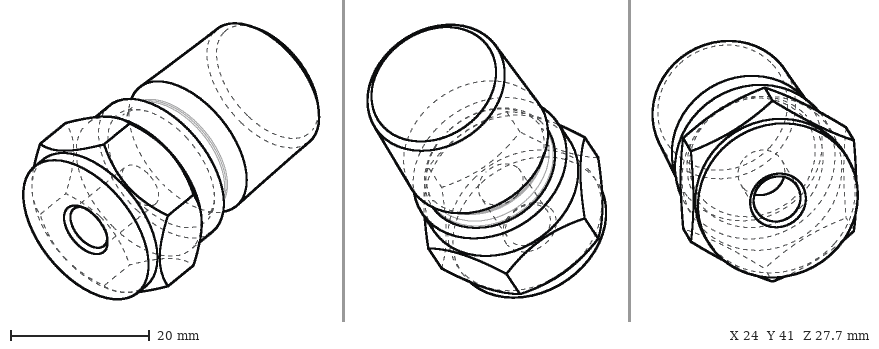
import cadquery as cq
import math

length = 41.0
hex_start = 2.0
hex_end = 11.97
shoulder_y = 17.0
nose_cone_start = 20.2
cone_end = 23.0
tip_chamfer_start = 40.0

collar_radius = 11.75
neck_radius = 9.47
taper_large_radius = 11.05
taper_small_radius = 10.55
tip_radius = 9.55

neck_arc_radius = 1.15
shoulder_flare_angle = 45.0
shoulder_cone_run = 0.2
nose_flare_angle = 15.0
nose_cone_run = 0.25

across_flats = 24.0
across_corners = across_flats / math.cos(math.pi / 6)
corner_rise = across_corners / 2 - collar_radius

hole_radius = 3.45
hole_mouth_radius = 4.1
hole_mouth_depth = 0.65
hole_depth = 12.3
drill_point_angle = 118.0
drill_point_depth = hole_radius / math.tan(math.radians(drill_point_angle / 2))


def revolve_y(points):
    """Turn a closed (radius, y) outline about the Y axis."""
    return cq.Workplane("XY").polyline(points).close().revolve(360, (0, 0, 0), (0, 1, 0))


def neck_flare(radius, angle):
    """Radial and axial size of an arc that leaves the neck and turns by an angle in degrees."""
    turn = math.radians(angle)
    return radius * (1 - math.cos(turn)), radius * math.sin(turn)


def make_body():
    """Collar, relieved neck and tapered nose; arcs and short cones flare both neck ends."""
    shoulder_rise, shoulder_run = neck_flare(neck_arc_radius, shoulder_flare_angle)
    shoulder_arc_radius = neck_radius + shoulder_rise
    shoulder_arc_y = shoulder_y + shoulder_cone_run
    shoulder_cone_rise = shoulder_cone_run * math.tan(math.radians(shoulder_flare_angle))
    shoulder_mid_rise, shoulder_mid_run = neck_flare(neck_arc_radius, shoulder_flare_angle / 2)
    neck_start = shoulder_arc_y + shoulder_run

    nose_rise, nose_run = neck_flare(neck_arc_radius, nose_flare_angle)
    nose_mid_rise, nose_mid_run = neck_flare(neck_arc_radius, nose_flare_angle / 2)
    neck_end = nose_cone_start - nose_run
    nose_cone_rise = nose_cone_run * math.tan(math.radians(nose_flare_angle))

    return (
        cq.Workplane("XY")
        .lineTo(collar_radius, 0)
        .lineTo(collar_radius, shoulder_y)
        .lineTo(shoulder_arc_radius + shoulder_cone_rise, shoulder_y)
        .lineTo(shoulder_arc_radius, shoulder_arc_y)
        .threePointArc(
            (neck_radius + shoulder_mid_rise, neck_start - shoulder_mid_run),
            (neck_radius, neck_start),
        )
        .lineTo(neck_radius, neck_end)
        .threePointArc(
            (neck_radius + nose_mid_rise, neck_end + nose_mid_run),
            (neck_radius + nose_rise, nose_cone_start),
        )
        .lineTo(neck_radius + nose_rise + nose_cone_rise, nose_cone_start + nose_cone_run)
        .lineTo(taper_large_radius, cone_end)
        .lineTo(taper_small_radius, tip_chamfer_start)
        .lineTo(tip_radius, length)
        .lineTo(0, length)
        .close()
        .revolve(360, (0, 0, 0), (0, 1, 0))
    )


def make_hexagon():
    """Hexagon with corners on +Z and -Z, bevelled at both ends by cones."""
    prism = (
        cq.Workplane("XZ", origin=(0, hex_end, 0))
        .transformed(rotate=(0, 0, 90))
        .polygon(6, across_corners)
        .extrude(hex_end - hex_start)
    )
    bevel = revolve_y([
        (0, hex_start),
        (collar_radius, hex_start),
        (collar_radius + corner_rise, hex_start + corner_rise),
        (collar_radius + corner_rise, hex_end - corner_rise),
        (collar_radius, hex_end),
        (0, hex_end),
    ])
    return prism.intersect(bevel)


def make_hole():
    """Countersunk blind hole with a conical drill point."""
    return revolve_y([
        (0, 0),
        (hole_mouth_radius, 0),
        (hole_radius, hole_mouth_depth),
        (hole_radius, hole_depth),
        (0, hole_depth + drill_point_depth),
    ])


result = make_body().union(make_hexagon()).cut(make_hole())